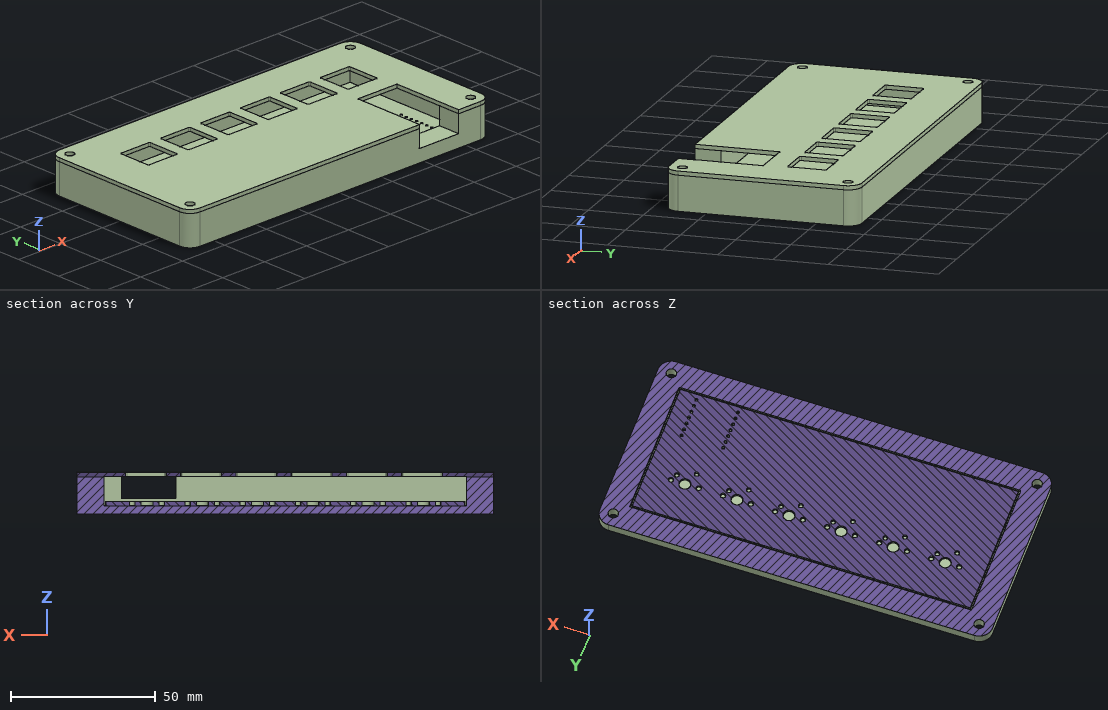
import cadquery as cq

LENGTH = 143.84
WIDTH = 70.01
TOTAL_HEIGHT = 14.5
CORNER_RADIUS = 5.0
PLATE_THICKNESS = 1.5
CASE_HEIGHT = TOTAL_HEIGHT - PLATE_THICKNESS

SCREW_DIAMETER = 3.4
SCREW_INSET = 5.0
SCREW_SPACING_X = LENGTH - 2 * SCREW_INSET
SCREW_SPACING_Y = WIDTH - 2 * SCREW_INSET

BOARD_MARGIN = 10.0
BOARD_LENGTH = LENGTH - 2 * BOARD_MARGIN
BOARD_WIDTH = WIDTH - 2 * BOARD_MARGIN
BOARD_THICKNESS = 1.4
BOARD_GAP = 0.5
CAVITY_LENGTH = BOARD_LENGTH + 2 * BOARD_GAP
CAVITY_WIDTH = BOARD_WIDTH + 2 * BOARD_GAP
FLOOR_THICKNESS = 3.0

SWITCH_COUNT = 6
SWITCH_PITCH = 19.05
SWITCH_ROW_Y = 10.55
CUTOUT_SIZE = 14.0
CUTOUT_CORNER_RADIUS = 0.5
CUTOUT_SHIFT_X = 0.45
CUTOUT_SHIFT_Y = 0.6

PIN_GRID = 1.27
STEM_DIAMETER = 4.0
PEG_DIAMETER = 1.7
PEG_OFFSET = 4 * PIN_GRID
CONTACT_DIAMETER = 1.5
CONTACT_OFFSETS = [(3 * PIN_GRID, -2 * PIN_GRID), (-2 * PIN_GRID, -4 * PIN_GRID)]

MODULE_X = (SWITCH_COUNT - 1) / 2 * SWITCH_PITCH
MODULE_Y = -15.2
MODULE_PIN_DIAMETER = 0.89
MODULE_PINS_PER_ROW = 7
MODULE_PIN_PITCH = 2 * PIN_GRID
MODULE_ROW_SPACING = 12 * PIN_GRID

OPENING_WIDTH = 18.6
OPENING_CENTER_X = 47.1
OPENING_BACK_Y = -4.2
OPENING_FRONT_Y = -WIDTH / 2
OPENING_FLOOR_Z = 5.5


def rounded_slab(bottom, height):
    """Slab with the rounded outline shared by the case and the plate."""
    return (
        cq.Workplane("XY", origin=(0, 0, bottom))
        .rect(LENGTH, WIDTH)
        .extrude(height)
        .edges("|Z")
        .fillet(CORNER_RADIUS)
    )


def screw_holes():
    """Four corner holes, tall enough to pass through the whole stack."""
    return (
        cq.Workplane("XY")
        .rect(SCREW_SPACING_X, SCREW_SPACING_Y, forConstruction=True)
        .vertices()
        .circle(SCREW_DIAMETER / 2)
        .extrude(TOTAL_HEIGHT)
    )


def module_opening(back_y, bottom):
    """Block from back_y out to the front face, open upwards from the bottom height."""
    center_y = (back_y + OPENING_FRONT_Y) / 2
    return (
        cq.Workplane("XY", origin=(OPENING_CENTER_X, center_y, bottom))
        .rect(OPENING_WIDTH, back_y - OPENING_FRONT_Y)
        .extrude(TOTAL_HEIGHT - bottom)
    )


def switch_centers():
    """Board positions of the switches, from left to right."""
    first_x = -(SWITCH_COUNT - 1) / 2 * SWITCH_PITCH
    return [(first_x + i * SWITCH_PITCH, SWITCH_ROW_Y) for i in range(SWITCH_COUNT)]


def make_case():
    cavity = (
        cq.Workplane("XY", origin=(0, 0, FLOOR_THICKNESS))
        .rect(CAVITY_LENGTH, CAVITY_WIDTH)
        .extrude(CASE_HEIGHT - FLOOR_THICKNESS)
    )
    notch = module_opening(-CAVITY_WIDTH / 2, OPENING_FLOOR_Z)
    return rounded_slab(0, CASE_HEIGHT).cut(cavity).cut(notch).cut(screw_holes())


def make_plate():
    cutout_centers = [(x + CUTOUT_SHIFT_X, y + CUTOUT_SHIFT_Y) for x, y in switch_centers()]
    cutouts = (
        cq.Workplane("XY", origin=(0, 0, CASE_HEIGHT))
        .pushPoints(cutout_centers)
        .rect(CUTOUT_SIZE, CUTOUT_SIZE)
        .extrude(PLATE_THICKNESS)
        .edges("|Z")
        .fillet(CUTOUT_CORNER_RADIUS)
    )
    opening = module_opening(OPENING_BACK_Y, CASE_HEIGHT)
    return rounded_slab(CASE_HEIGHT, PLATE_THICKNESS).cut(cutouts).cut(opening).cut(screw_holes())


def board_holes(centers, diameter):
    """Round holes through the board at the given centres."""
    return (
        cq.Workplane("XY", origin=(0, 0, FLOOR_THICKNESS))
        .pushPoints(centers)
        .circle(diameter / 2)
        .extrude(BOARD_THICKNESS)
    )


def make_board():
    board = (
        cq.Workplane("XY", origin=(0, 0, FLOOR_THICKNESS))
        .rect(BOARD_LENGTH, BOARD_WIDTH)
        .extrude(BOARD_THICKNESS)
    )
    switches = switch_centers()
    pegs = [(x + side * PEG_OFFSET, y) for x, y in switches for side in (-1, 1)]
    contacts = [(x + dx, y + dy) for x, y in switches for dx, dy in CONTACT_OFFSETS]
    middle_pin = (MODULE_PINS_PER_ROW - 1) / 2
    module_pins = [
        (MODULE_X + side * MODULE_ROW_SPACING / 2, MODULE_Y + (i - middle_pin) * MODULE_PIN_PITCH)
        for side in (-1, 1)
        for i in range(MODULE_PINS_PER_ROW)
    ]
    return (
        board.cut(board_holes(switches, STEM_DIAMETER))
        .cut(board_holes(pegs, PEG_DIAMETER))
        .cut(board_holes(contacts, CONTACT_DIAMETER))
        .cut(board_holes(module_pins, MODULE_PIN_DIAMETER))
    )


case = make_case()
board = make_board()
plate = make_plate()

result = cq.Compound.makeCompound([case.val(), board.val(), plate.val()])